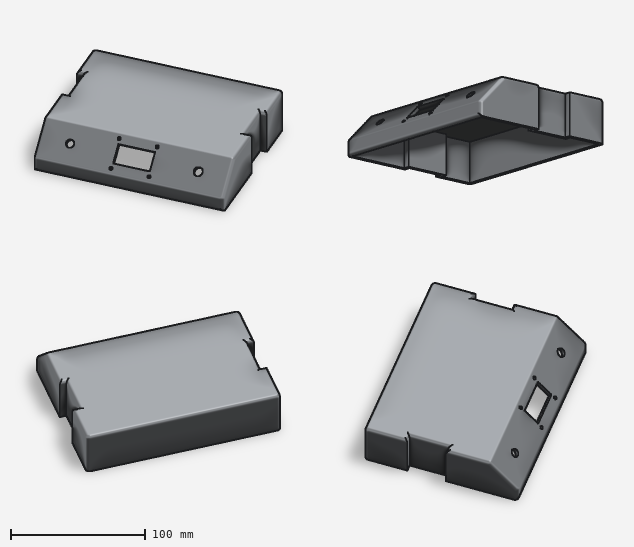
import cadquery as cq
import math

length = 152.4
depth = 121.9
height = 34.9
wall = 3.2
edge_radius = 3.2

panel_angle = 45.0
panel_run = 22.9
front_height = height - panel_run * math.tan(math.radians(panel_angle))

notch_depth = 5.2
notch_width = 30.5
notch_front = 57.3

window_length = 29.4
window_height = 15.1
screw_spacing_x = 30.5
screw_spacing_slope = 23.3
screw_diameter = 2.5
control_offset = 51.4
left_control_diameter = 6.4
right_control_diameter = 7.0
cutter_reach = 2 * wall


def side_profile():
    """Side outline of the enclosure in the YZ plane, with X as its normal."""
    return cq.Workplane("YZ").polyline(
        [
            (0, 0),
            (depth, 0),
            (depth, height),
            (panel_run, height),
            (0, front_height),
        ]
    ).close()


def notch_blocks(margin):
    """Blocks at both ends that reach the notch faces, grown by a margin."""
    grown_width = notch_width + 2 * margin
    return (
        cq.Workplane("XY")
        .pushPoints([(side * length / 2, notch_front + notch_width / 2) for side in (-1, 1)])
        .rect(2 * (notch_depth + margin), grown_width)
        .extrude(height)
    )


def outer_body():
    body = side_profile().extrude(length / 2, both=True).cut(notch_blocks(0))
    top_edges = body.faces(">Z").edges()
    front_edges = body.faces("<Y").edges()
    back_uprights = body.faces(">Y").edges("|Z")
    slope_edges = body.edges("not(|X or |Y or |Z)")
    rounded_edges = top_edges.add(front_edges).add(back_uprights).add(slope_edges)
    return rounded_edges.fillet(edge_radius)


def cavity():
    """Hollow with an even wall on every side, open at the bottom."""
    bend_shift = wall * math.tan(math.radians(panel_angle / 2))
    hollow = (
        cq.Workplane("YZ")
        .polyline(
            [
                (wall, 0),
                (depth - wall, 0),
                (depth - wall, height - wall),
                (panel_run + bend_shift, height - wall),
                (wall, front_height - bend_shift),
            ]
        )
        .close()
        .extrude(length / 2 - wall, both=True)
    )
    return hollow.cut(notch_blocks(wall))


def panel_openings():
    """Cutters for the display window, its four screws and the two control holes."""
    panel = cq.Workplane(
        cq.Plane(
            origin=(0, panel_run / 2, (front_height + height) / 2),
            xDir=(1, 0, 0),
            normal=(0, front_height - height, panel_run),
        )
    ).workplane(offset=-cutter_reach)
    reach = 2 * cutter_reach
    window = panel.rect(window_length, window_height).extrude(reach)
    screws = (
        panel.rect(screw_spacing_x, screw_spacing_slope, forConstruction=True)
        .vertices()
        .circle(screw_diameter / 2)
        .extrude(reach)
    )
    left_control = panel.center(-control_offset, 0).circle(left_control_diameter / 2).extrude(reach)
    right_control = panel.center(control_offset, 0).circle(right_control_diameter / 2).extrude(reach)
    return window.add(screws).add(left_control).add(right_control).combine()


result = outer_body().cut(cavity()).cut(panel_openings())